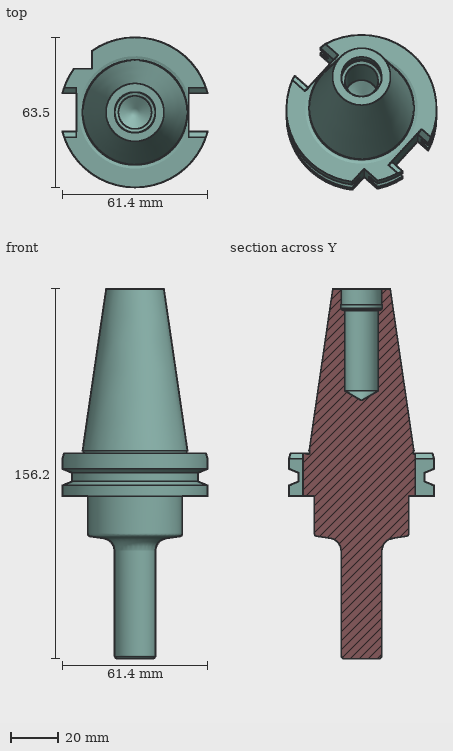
import cadquery as cq
import math

TAPER_LENGTH = 68.4
FLANGE_TOP = -1.0
FLANGE_BOTTOM = -19.1
TOTAL_LENGTH = 156.25
PART_BOTTOM = TAPER_LENGTH - TOTAL_LENGTH

GAUGE_RADIUS = 44.45 / 2
TAPER_RATE = 7 / 24
TAPER_TOP_RADIUS = GAUGE_RADIUS - TAPER_LENGTH * TAPER_RATE / 2
NECK_RADIUS = 43.85 / 2
RELIEF_RADIUS = 47.5 / 2
RELIEF_DEPTH = 0.5
RELIEF_FILLET = 0.6

FLANGE_RADIUS = 63.5 / 2
GROOVE_CENTER = -11.1
GROOVE_FLOOR_RADIUS = 55.8 / 2
GROOVE_RIM_HALF = 7.0 / 2
GROOVE_FLOOR_HALF = 3.6 / 2

SLOT_WIDTH = 16.1
SLOT_FLOOR_LEFT = -24.75
SLOT_FLOOR_RIGHT = 22.8
SLOT_CHAMFER = 2.4
NOTCH_WALL_X = -18.2
NOTCH_WALL_Y = 18.5

BODY_RADIUS = 20.0
BODY_EDGE_FILLET = 1.2
BODY_CORNER_Z = -36.0
BODY_CONE_ANGLE = math.radians(8.5)
SHANK_RADIUS = 17.5 / 2
SHANK_FILLET = 5.0
SHANK_LEAD_LENGTH = 0.85
SHANK_LEAD_RADIUS = 17.2 / 2
SHANK_TIP_CHAMFER = 0.85

BORE_RADIUS = 17.01 / 2
BORE_GROOVE_RADIUS = 17.41 / 2
BORE_GROOVE_START = 6.6
BORE_GROOVE_END = 8.2
BORE_DEPTH = 8.65
BORE_SEAT_ANGLE = math.radians(18)
DRILL_RADIUS = 14.0 / 2
DRILL_DEPTH = 43.0
DRILL_TIP_ANGLE = math.radians(30)


def circle_at(radius, z):
    """Selector for the circular edge of the given radius at height z."""
    tolerance = 0.01
    reach = radius + tolerance
    return cq.selectors.BoxSelector(
        (-reach, -reach, z - tolerance), (reach, reach, z + tolerance), boundingbox=True
    )


def make_body():
    """Revolved outline of taper, flange, body and shank, with its rounded edges."""
    cone_drop = (BODY_RADIUS - SHANK_RADIUS) * math.tan(BODY_CONE_ANGLE)
    cone_end_z = BODY_CORNER_Z - cone_drop
    relief_z = FLANGE_TOP - RELIEF_DEPTH
    lead_bottom = PART_BOTTOM + SHANK_TIP_CHAMFER
    lead_top = lead_bottom + SHANK_LEAD_LENGTH
    body = (
        cq.Workplane("XZ")
        .moveTo(0, PART_BOTTOM)
        .lineTo(SHANK_LEAD_RADIUS - SHANK_TIP_CHAMFER, PART_BOTTOM)
        .lineTo(SHANK_LEAD_RADIUS, lead_bottom)
        .lineTo(SHANK_RADIUS, lead_top)
        .lineTo(SHANK_RADIUS, cone_end_z)
        .lineTo(BODY_RADIUS, BODY_CORNER_Z)
        .lineTo(BODY_RADIUS, FLANGE_BOTTOM)
        .lineTo(FLANGE_RADIUS, FLANGE_BOTTOM)
        .lineTo(FLANGE_RADIUS, GROOVE_CENTER - GROOVE_RIM_HALF)
        .lineTo(GROOVE_FLOOR_RADIUS, GROOVE_CENTER - GROOVE_FLOOR_HALF)
        .lineTo(GROOVE_FLOOR_RADIUS, GROOVE_CENTER + GROOVE_FLOOR_HALF)
        .lineTo(FLANGE_RADIUS, GROOVE_CENTER + GROOVE_RIM_HALF)
        .lineTo(FLANGE_RADIUS, FLANGE_TOP)
        .lineTo(RELIEF_RADIUS, FLANGE_TOP)
        .lineTo(NECK_RADIUS, relief_z)
        .lineTo(NECK_RADIUS, 0)
        .lineTo(GAUGE_RADIUS, 0)
        .lineTo(TAPER_TOP_RADIUS, TAPER_LENGTH)
        .lineTo(0, TAPER_LENGTH)
        .close()
        .revolve(360, (0, 0, 0), (0, 1, 0))
    )
    rounded_edges = (
        (SHANK_RADIUS, cone_end_z, SHANK_FILLET),
        (BODY_RADIUS, BODY_CORNER_Z, BODY_EDGE_FILLET),
        (NECK_RADIUS, relief_z, RELIEF_FILLET),
    )
    for edge_radius, edge_z, fillet_radius in rounded_edges:
        body = body.edges(circle_at(edge_radius, edge_z)).fillet(fillet_radius)
    return body


def make_bore():
    """Revolved cutter: lead bore, shallow groove, conical seat and tap drill hole."""
    bore_bottom = TAPER_LENGTH - BORE_DEPTH
    groove_top = TAPER_LENGTH - BORE_GROOVE_START
    groove_bottom = TAPER_LENGTH - BORE_GROOVE_END
    seat_bottom = bore_bottom - (BORE_RADIUS - DRILL_RADIUS) * math.tan(BORE_SEAT_ANGLE)
    drill_bottom = TAPER_LENGTH - DRILL_DEPTH
    return (
        cq.Workplane("XZ")
        .moveTo(0, TAPER_LENGTH)
        .lineTo(BORE_RADIUS, TAPER_LENGTH)
        .lineTo(BORE_RADIUS, groove_top)
        .lineTo(BORE_GROOVE_RADIUS, groove_top)
        .lineTo(BORE_GROOVE_RADIUS, groove_bottom)
        .lineTo(BORE_RADIUS, groove_bottom)
        .lineTo(BORE_RADIUS, bore_bottom)
        .lineTo(DRILL_RADIUS, seat_bottom)
        .lineTo(DRILL_RADIUS, drill_bottom)
        .lineTo(0, drill_bottom - DRILL_RADIUS * math.tan(DRILL_TIP_ANGLE))
        .close()
        .revolve(360, (0, 0, 0), (0, 1, 0))
    )


def make_slot(floor_x):
    """Drive slot cutter with chamfered mouth, from its floor out past the rim."""
    half = SLOT_WIDTH / 2
    direction = math.copysign(1, floor_x)
    return (
        cq.Workplane("YZ", origin=(floor_x, 0, 0))
        .moveTo(-half, FLANGE_BOTTOM)
        .lineTo(half, FLANGE_BOTTOM)
        .lineTo(half, FLANGE_TOP - SLOT_CHAMFER)
        .lineTo(half + SLOT_CHAMFER, FLANGE_TOP)
        .lineTo(-half - SLOT_CHAMFER, FLANGE_TOP)
        .lineTo(-half, FLANGE_TOP - SLOT_CHAMFER)
        .close()
        .extrude(direction * FLANGE_RADIUS)
    )


def make_notch():
    """Corner notch cutter through the full flange thickness."""
    flange_height = FLANGE_TOP - FLANGE_BOTTOM
    corner = (NOTCH_WALL_X - FLANGE_RADIUS, NOTCH_WALL_Y, FLANGE_BOTTOM)
    block = cq.Workplane("XY").box(FLANGE_RADIUS, FLANGE_RADIUS, flange_height, centered=False)
    return block.translate(corner)


result = make_body().cut(make_bore()).cut(make_notch())
for slot_floor in (SLOT_FLOOR_LEFT, SLOT_FLOOR_RIGHT):
    result = result.cut(make_slot(slot_floor))